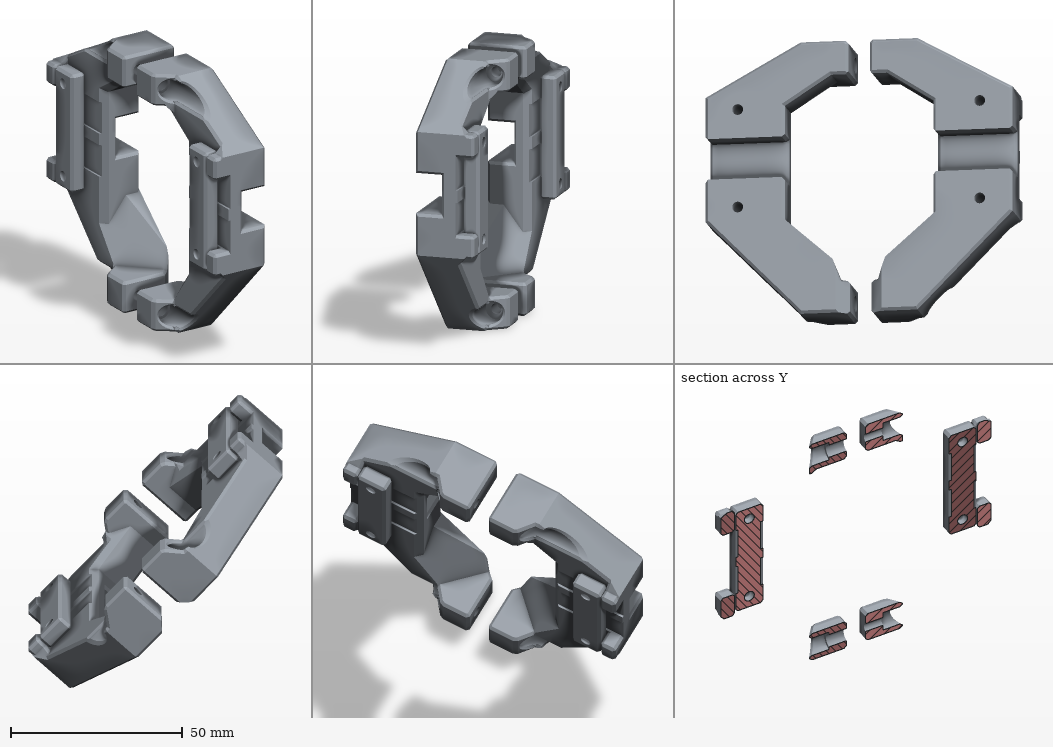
import cadquery as cq


OUTER_X = 45.4
GAP_X = 3.2
HEIGHT = 81.0
HALF_HEIGHT = HEIGHT / 2
CORNER_X = 17.3
PLATE_BACK = 13.0
EAR_FRONT = -5.0
EDGE = 0.8

SIDE_Z = 6.45
SIDE_HALF = 18.5

EAR_HEIGHT = 10.0
EAR_INNER_Z = HALF_HEIGHT - EAR_HEIGHT
EAR_ROOT_X = 16.4
EAR_TIP_X = 12.45
EAR_BACK_BEVEL = 6.2
UNDERCUT_Z = 28.7

INNER_X = 22.0
INNER_TOP_Z = 21.7
INNER_BOTTOM_Z = -12.2
TOP_SLOPE = 0.64
BOTTOM_SLOPE = 0.87

FLARE_X = 24.1
FLARE_DEPTH = FLARE_X - INNER_X
FLARE_TOP_Z = 22.6
FLARE_TOP_RATE = 0.55
FLARE_BOTTOM_Z = -20.0
FLARE_RUN = 8.0
SCOOP_SLOPE = (EAR_INNER_Z + FLARE_BOTTOM_Z) / FLARE_RUN

SCREW_Z = 35.5
SCREW_D = 3.2
INSERT_D = 4.7
CHANNEL_D = 6.5
CHANNEL_FLOOR_X = 9.1
RIM_D = 8.0
RIM_DEPTH = (RIM_D - CHANNEL_D) / 2

NOTCH_WIDTH = 12.1
NOTCH_HALF = NOTCH_WIDTH / 2
NOTCH_FLOOR_Y = 5.0

STRAP_HALF = 11.7
RIDGE_HALF = 1.8
RECESS_DEPTH = 0.6

BAR_INNER_X = 31.2
BAR_OUTER_X = 40.4
BAR_X = (BAR_INNER_X + BAR_OUTER_X) / 2
BAR_FRONT = -4.9
BAR_HOLE_OFFSET = 14.5

PAD_INNER_X = 40.6
PAD_FRONT = BAR_FRONT
RAMP_Y = -2.0

FAR = 54.5
TOL = 0.01
SIDES = (1, -1)


def block(x0, x1, y0, y1, z0, z1):
    """Box between two opposite corners."""
    return cq.Workplane("XY").box(x1 - x0, y1 - y0, z1 - z0, centered=False).translate((x0, y0, z0))


def prism_x(outline, x0, x1):
    """YZ outline extruded from x0 to x1."""
    return cq.Workplane("YZ", origin=(x0, 0, 0)).polyline(outline).close().extrude(x1 - x0)


def prism_y(outline, y0, y1):
    """XZ outline extruded from y0 back to y1."""
    return cq.Workplane("XZ", origin=(0, y0, 0)).polyline(outline).close().extrude(y0 - y1)


def cylinder_x(diameter, x0, x1, z):
    return cq.Workplane("YZ", origin=(x0, 0, z)).circle(diameter / 2).extrude(x1 - x0)


def loft_y(front_outline, front_y, back_outline, back_y):
    """Solid with flat sides between two XZ outlines."""
    front = cq.Workplane("XZ", origin=(0, front_y, 0)).polyline(front_outline).close()
    both = front.workplane(offset=front_y - back_y).polyline(back_outline).close()
    return both.loft(ruled=True, combine=False)


def chamfer_where(body, chosen):
    """Chamfer the edges for which chosen(edge) is true."""
    return body.newObject([edge for edge in body.edges().vals() if chosen(edge)]).chamfer(EDGE)


def outer_blank():
    """Full outline of a half, as deep as the ears."""
    outline = [
        (GAP_X, HALF_HEIGHT),
        (CORNER_X, HALF_HEIGHT),
        (OUTER_X, SIDE_Z + SIDE_HALF),
        (OUTER_X, SIDE_Z - SIDE_HALF),
        (CORNER_X, -HALF_HEIGHT),
        (GAP_X, -HALF_HEIGHT),
    ]
    return prism_y(outline, EAR_FRONT, PLATE_BACK)


def front_relief():
    """Space in front of the plate, up to the sloping sides of the ears."""
    outline = [(EAR_ROOT_X, 0), (EAR_TIP_X, EAR_FRONT), (FAR, EAR_FRONT), (FAR, 0)]
    return cq.Workplane("XY").polyline(outline).close().extrude(FAR, both=True)


def is_outer_rim(edge):
    """Front edges and ear end edges of the blank, except the upright edges at y = 0."""
    middle = edge.Center()
    upright_on_plate = abs(middle.y) < TOL and abs(middle.z) < HALF_HEIGHT / 2 and edge.tangentAt(0).x == 0
    on_ear_end = abs(middle.x - GAP_X) < TOL and abs(middle.z) > HALF_HEIGHT - TOL
    return on_ear_end or (middle.y < TOL and not upright_on_plate)


def opening():
    outline = [
        (INNER_X, INNER_BOTTOM_Z),
        (INNER_X, INNER_TOP_Z),
        (INNER_X - (EAR_INNER_Z - INNER_TOP_Z) / TOP_SLOPE, EAR_INNER_Z),
        (0, EAR_INNER_Z),
        (0, INNER_BOTTOM_Z - INNER_X * BOTTOM_SLOPE),
    ]
    return prism_y(outline, EAR_FRONT, PLATE_BACK)


def flare_outline(y):
    side_x = FLARE_X - y
    top_z = FLARE_TOP_Z - FLARE_TOP_RATE * y
    return [
        (side_x, FLARE_BOTTOM_Z),
        (side_x, top_z),
        (side_x - (EAR_INNER_Z - top_z) / TOP_SLOPE, EAR_INNER_Z),
        (-FAR, EAR_INNER_Z),
        (-FAR, -EAR_INNER_Z),
        (side_x - FLARE_RUN, -EAR_INNER_Z),
    ]


def flare():
    """Bevel round the front of the opening."""
    return loft_y(flare_outline(EAR_FRONT), EAR_FRONT, flare_outline(FLARE_DEPTH), FLARE_DEPTH)


def scoop_outline(y):
    foot_x = FLARE_X - y - FLARE_RUN
    return [
        (foot_x, -EAR_INNER_Z),
        (INNER_X, (INNER_X - foot_x) * SCOOP_SLOPE - EAR_INNER_Z),
        (INNER_X, 0),
        (-FAR, 0),
        (-FAR, -EAR_INNER_Z),
    ]


def scoop():
    """Lower side of the flare, running on through to the back."""
    return loft_y(scoop_outline(FLARE_DEPTH), FLARE_DEPTH, scoop_outline(PLATE_BACK), PLATE_BACK)


def ear_back_bevel():
    """45 degree bevel on the back corner of the lower ear."""
    outline = [(0, EAR_BACK_BEVEL), (PLATE_BACK - EAR_BACK_BEVEL, PLATE_BACK), (0, PLATE_BACK)]
    return cq.Workplane("XY").polyline(outline).close().extrude(-FAR)


def upper_ear_undercut():
    """45 degree underside where the root of the upper ear stands out from the plate."""
    height = EAR_INNER_Z - UNDERCUT_Z
    return prism_x([(0, UNDERCUT_Z), (-height, EAR_INNER_Z), (-height, 0), (0, 0)], 0, FAR)


def is_back_rim(edge):
    """Edges of the back face, except along the scoop side and the bevelled ear."""
    middle = edge.Center()
    on_scoop_side = INNER_BOTTOM_Z > middle.z > TOL - HALF_HEIGHT and middle.x < INNER_X
    return middle.y > PLATE_BACK - TOL and not on_scoop_side


def is_ear_inner_rim(edge):
    """Edges of the ear faces that look into the opening, and where the back bevel meets the scoop."""
    middle = edge.Center()
    ends = (edge.startPoint(), edge.endPoint())
    on_ear = all(abs(abs(end.z) - EAR_INNER_Z) < TOL for end in ends)
    on_bevel = all(abs(end.y - end.x - EAR_BACK_BEVEL) < TOL for end in ends)
    upper_end_z = max(end.z for end in ends)
    lower_end_z = min(end.z for end in ends)
    bevel_top = on_bevel and lower_end_z > -EAR_INNER_Z - TOL and upper_end_z < INNER_BOTTOM_Z
    return bevel_top or (on_ear and (middle.y < 0 or middle.x < GAP_X + EDGE))


def channel_bevel(mouth_x, side, slant, across):
    """Bevel where the channel meets a sloping flat face through (mouth_x, 0) on the screw axis.

    slant lies in the face and points away from the gap; across is the in-face direction square to X.
    """
    normal = slant.cross(across).normalized()
    stretch = 1 / abs(normal.x)

    def section(diameter, depth):
        origin = (mouth_x - depth * stretch, 0, side * SCREW_Z)
        face = cq.Plane(origin=origin, xDir=slant.toTuple(), normal=normal.toTuple())
        return cq.Workplane(face).ellipse(diameter / 2 * stretch, diameter / 2).val()

    return cq.Workplane(cq.Solid.makeLoft([section(RIM_D, 0), section(CHANNEL_D, RIM_DEPTH)], True))


def screw_channel(side):
    """Channel for the screw head, bevelled on the outer side, the ear side and the plate front."""
    run = OUTER_X - CORNER_X
    rise = HALF_HEIGHT - side * SIDE_Z - SIDE_HALF
    outer_mouth_x = CORNER_X + (HALF_HEIGHT - SCREW_Z) * run / rise
    outer_bevel = channel_bevel(outer_mouth_x, side, cq.Vector(run, 0, -side * rise), cq.Vector(0, 1, 0))
    ear_slant = cq.Vector(EAR_ROOT_X - EAR_TIP_X, -EAR_FRONT, 0)
    ear_bevel = channel_bevel(EAR_ROOT_X, side, ear_slant, cq.Vector(0, 0, 1))
    ear_bevel = ear_bevel.intersect(block(0, FAR, EAR_FRONT, 0, -FAR, FAR))
    groove = [
        (0, -RIM_D / 2),
        (0, RIM_D / 2),
        (RIM_DEPTH, CHANNEL_D / 2),
        (RIM_DEPTH, -CHANNEL_D / 2),
    ]
    front_bevel = prism_x(groove, EAR_ROOT_X, OUTER_X).translate((0, 0, side * SCREW_Z))
    channel = cylinder_x(CHANNEL_D, CHANNEL_FLOOR_X, OUTER_X, side * SCREW_Z)
    return channel.union(front_bevel).union(outer_bevel).union(ear_bevel)


def corner_pad(side):
    """Pad beside one end of the bar, with a ramp up to it from the plate."""
    profile = [
        (EDGE, STRAP_HALF),
        (PAD_FRONT, STRAP_HALF),
        (PAD_FRONT, SIDE_HALF),
        (RAMP_Y, SIDE_HALF),
        (EDGE, SIDE_HALF - RAMP_Y + EDGE),
    ]
    pad = prism_x([(y, SIDE_Z + side * z) for y, z in profile], PAD_INNER_X, OUTER_X)

    def is_pad_rim(edge):
        middle = edge.Center()
        on_ramp = middle.y > RAMP_Y - TOL
        return middle.y < 0 and not (on_ramp and middle.x > PAD_INNER_X + TOL)

    return chamfer_where(pad, is_pad_rim).intersect(outer_blank())


def strap_zones(x0, x1, y0, y1):
    """Two boxes, one each side of the ridge."""
    zones = block(x0, x1, y0, y1, SIDE_Z - STRAP_HALF, SIDE_Z + STRAP_HALF)
    return zones.cut(block(x0, x1, y0, y1, SIDE_Z - RIDGE_HALF, SIDE_Z + RIDGE_HALF))


def strap_end_bevel(side):
    """Bevel on the outer side at one end of the strap recesses."""
    end_z = SIDE_Z + side * STRAP_HALF
    outline = [(OUTER_X, end_z), (OUTER_X - EDGE, end_z), (OUTER_X, end_z + side * EDGE)]
    return prism_y(outline, EAR_FRONT, RECESS_DEPTH)


def notch_outline(growth):
    floor_y = NOTCH_FLOOR_Y - growth
    half = NOTCH_HALF + growth
    return [(floor_y, SIDE_Z - half), (FAR, SIDE_Z - half), (FAR, SIDE_Z + half), (floor_y, SIDE_Z + half)]


def notch():
    """Notch through the back, bevelled at both mouths."""
    cutter = prism_x(notch_outline(0), 0, OUTER_X)
    for mouth_x, inward in ((OUTER_X, -1), (INNER_X, 1)):
        mouth = cq.Workplane("YZ", origin=(mouth_x, 0, 0)).polyline(notch_outline(EDGE)).close()
        throat = mouth.workplane(offset=inward * EDGE).polyline(notch_outline(0)).close()
        cutter = cutter.union(throat.loft(ruled=True, combine=False))
    return cutter


def bar_holes():
    centres = [(BAR_X, SIDE_Z + side * BAR_HOLE_OFFSET) for side in SIDES]
    return cq.Workplane("XZ").pushPoints(centres).circle(SCREW_D / 2).extrude(FAR, both=True)


def half_clamp():
    body = chamfer_where(outer_blank().cut(front_relief()), is_outer_rim)
    body = body.cut(opening()).cut(flare()).cut(scoop()).cut(ear_back_bevel())
    body = chamfer_where(body, is_back_rim)
    body = chamfer_where(body, is_ear_inner_rim).cut(upper_ear_undercut())
    for side in SIDES:
        body = body.union(corner_pad(side)).cut(strap_end_bevel(side)).cut(screw_channel(side))
        body = body.cut(cylinder_x(SCREW_D, 0, CHANNEL_FLOOR_X, side * SCREW_Z))
    body = body.cut(strap_zones(0, OUTER_X, 0, RECESS_DEPTH))
    return body.cut(notch()).cut(bar_holes())


def bar():
    """Chamfered bar whose long back edges are rebated over the strap recesses."""
    body = block(BAR_INNER_X, BAR_OUTER_X, BAR_FRONT, 0, SIDE_Z - SIDE_HALF, SIDE_Z + SIDE_HALF)
    body = body.edges().chamfer(EDGE)
    for edge_x in (BAR_INNER_X, BAR_OUTER_X):
        body = body.cut(strap_zones(edge_x - EDGE, edge_x + EDGE, -EDGE, 0))
    return body.cut(bar_holes())


left_clamp = half_clamp().mirror("YZ")

right_clamp = half_clamp()
for side in SIDES:
    right_clamp = right_clamp.cut(cylinder_x(INSERT_D, 0, CHANNEL_FLOOR_X, side * SCREW_Z))

right_bar = bar()
left_bar = right_bar.mirror("YZ")

result = cq.Compound.makeCompound([left_clamp.val(), right_clamp.val(), left_bar.val(), right_bar.val()])